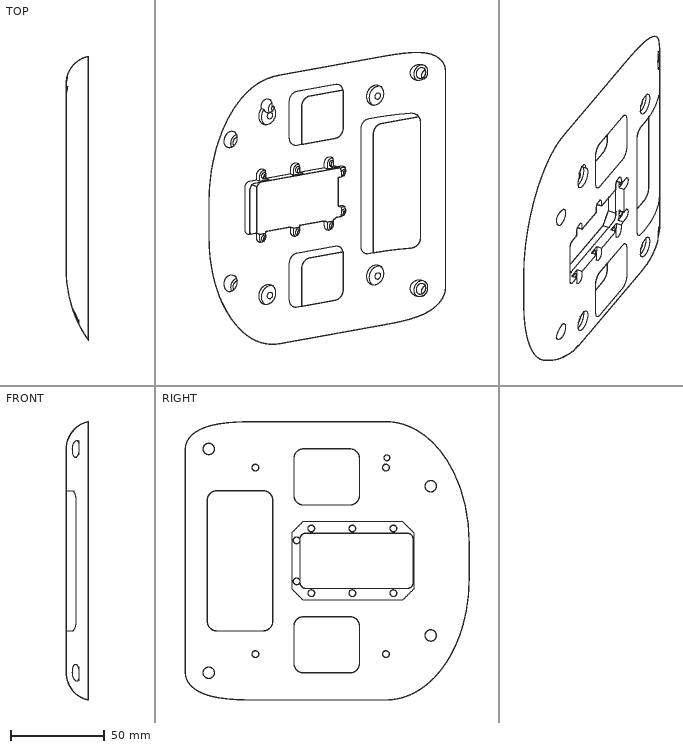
import cadquery as cq
import math


THICKNESS = 12.0
EDGE_RADIUS = 15.0
FLAT_HALF_HEIGHT = 60.0
HALF_LENGTH = 35.0
NOSE_FLAT_HALF_HEIGHT = 10.0
NOSE_REACH = 45.0
TAIL_BEND_RADIUS = 65.0
TAIL_SWEEP_DEGREES = 45.0
OUTER_HALF_HEIGHT = FLAT_HALF_HEIGHT + EDGE_RADIUS
BLANK_MARGIN = 1.0
BLANK_DEPTH = EDGE_RADIUS + BLANK_MARGIN
NOSE_RISE = OUTER_HALF_HEIGHT - NOSE_FLAT_HALF_HEIGHT
OVERSIZE = 400.0

WINDOW_WIDTH = 35.0
WINDOW_RADIUS = 5.0
SIDE_WINDOW_HEIGHT = 30.0
SIDE_WINDOW_Y = 3.25
SIDE_WINDOW_Z = FLAT_HALF_HEIGHT - SIDE_WINDOW_HEIGHT / 2
TAIL_WINDOW_Y = -43.25
TAIL_WINDOW_HEIGHT = 75.0

OPENING_Y_MAX = 49.5
OPENING_Y_MIN = -11.0
OPENING_HEIGHT = 29.5
OPENING_RADIUS = 3.0
LIP_THICKNESS = 5.0
RECESS_Y_MAX = 50.0
RECESS_Y_MIN = -15.5
RECESS_HEIGHT = 42.0
RECESS_CHAMFER = 6.0

SMALL_BORE = 3.5
DISPLAY_SLOT_WIDTH = 6.0
DISPLAY_SLOT_DEPTH = 3.0
DISPLAY_ROW_Y = (39.0, 17.0, -5.0)
DISPLAY_ROW_Z = 17.35
DISPLAY_END_Y = -12.9
DISPLAY_END_Z = 11.0

MOUNT_Y = HALF_LENGTH
MOUNT_Z = 50.0
MOUNT_HEAD = 11.0
MOUNT_HEAD_DEPTH = 2.5

CORNER_BORE = 6.0
CORNER_HEAD = 9.0
CORNER_HEAD_DEPTH = 7.0
TAIL_CORNER = (-60.0, 60.0)
NOSE_CORNER = (59.0, 40.0)

EXTRA_HOLE = (35.5, 55.25)
EXTRA_BORE = 3.0
EXTRA_HEAD = 7.0
EXTRA_HEAD_DEPTH = 7.0


def box(x_range, y_range, z_range):
    """Block between the given limits."""
    sizes = [high - low for low, high in (x_range, y_range, z_range)]
    corner = (x_range[0], y_range[0], z_range[0])
    return cq.Workplane("XY").box(*sizes, centered=False).translate(corner)


def cylinder(y, z, diameter, depth):
    """Cylinder along X from the front plane to the given depth."""
    return cq.Workplane("YZ").center(y, z).circle(diameter / 2).extrude(depth)


def make_nose_and_middle():
    """Straight middle and elliptical nose, with the front edge rounded."""
    nose_tip = HALF_LENGTH + NOSE_REACH
    blank = (
        cq.Workplane("YZ")
        .moveTo(-HALF_LENGTH, -OUTER_HALF_HEIGHT)
        .lineTo(HALF_LENGTH, -OUTER_HALF_HEIGHT)
        .ellipseArc(NOSE_REACH, NOSE_RISE, 270, 360, startAtCurrent=True)
        .lineTo(nose_tip, NOSE_FLAT_HALF_HEIGHT)
        .ellipseArc(NOSE_REACH, NOSE_RISE, 0, 90, startAtCurrent=True)
        .lineTo(-HALF_LENGTH, OUTER_HALF_HEIGHT)
        .close()
        .extrude(BLANK_DEPTH)
    )
    return blank.faces("<X").edges("not <Y").fillet(EDGE_RADIUS)


def make_tail():
    """Cross-section of the middle swept back around an axis parallel to Z."""
    corner = EDGE_RADIUS * math.sqrt(0.5)
    arc_x = EDGE_RADIUS - corner
    arc_z = FLAT_HALF_HEIGHT + corner
    return (
        cq.Workplane("XZ", origin=(0, -HALF_LENGTH, 0))
        .moveTo(0, -FLAT_HALF_HEIGHT)
        .lineTo(0, FLAT_HALF_HEIGHT)
        .threePointArc((arc_x, arc_z), (EDGE_RADIUS, OUTER_HALF_HEIGHT))
        .lineTo(BLANK_DEPTH, OUTER_HALF_HEIGHT)
        .lineTo(BLANK_DEPTH, -OUTER_HALF_HEIGHT)
        .lineTo(EDGE_RADIUS, -OUTER_HALF_HEIGHT)
        .threePointArc((arc_x, -arc_z), (0, -FLAT_HALF_HEIGHT))
        .close()
        .revolve(TAIL_SWEEP_DEGREES, (TAIL_BEND_RADIUS, 0, 0), (TAIL_BEND_RADIUS, 1, 0))
    )


def make_body():
    """Rounded plate cut off flat at the back."""
    half = OVERSIZE / 2
    front_space = box((-half, THICKNESS), (-half, half), (-half, half))
    return make_nose_and_middle().union(make_tail()).intersect(front_space)


def window(y, z, height):
    """Rounded through window."""
    cutter = cq.Workplane("YZ").center(y, z).rect(WINDOW_WIDTH, height).extrude(THICKNESS)
    return cutter.edges("|X").fillet(WINDOW_RADIUS)


def cut_windows(body):
    for side in (-1, 1):
        body = body.cut(window(SIDE_WINDOW_Y, side * SIDE_WINDOW_Z, SIDE_WINDOW_HEIGHT))
    return body.cut(window(TAIL_WINDOW_Y, 0, TAIL_WINDOW_HEIGHT))


def cut_display_opening(body):
    opening = box(
        (0, THICKNESS),
        (OPENING_Y_MIN, OPENING_Y_MAX),
        (-OPENING_HEIGHT / 2, OPENING_HEIGHT / 2),
    ).edges("|X").fillet(OPENING_RADIUS)
    recess = box(
        (LIP_THICKNESS, THICKNESS),
        (RECESS_Y_MIN, RECESS_Y_MAX),
        (-RECESS_HEIGHT / 2, RECESS_HEIGHT / 2),
    ).edges("|X").chamfer(RECESS_CHAMFER)
    return body.cut(opening).cut(recess)


def cut_screw(body, y, z, bore, head, head_depth):
    """Through bore with a flat-bottomed head recess from the front."""
    body = body.cut(cylinder(y, z, bore, THICKNESS))
    return body.cut(cylinder(y, z, head, head_depth))


def cut_display_screw(body, y, z, slot_y_range, slot_z_range):
    """Display screw hole with its head slot."""
    body = body.cut(box((0, DISPLAY_SLOT_DEPTH), slot_y_range, slot_z_range))
    return cut_screw(body, y, z, SMALL_BORE, DISPLAY_SLOT_WIDTH, DISPLAY_SLOT_DEPTH)


def cut_display_screws(body):
    """Screws around the opening; each head slot runs straight into the opening."""
    half_slot = DISPLAY_SLOT_WIDTH / 2
    for side in (-1, 1):
        z = side * DISPLAY_ROW_Z
        for y in DISPLAY_ROW_Y:
            body = cut_display_screw(body, y, z, (y - half_slot, y + half_slot), sorted((0, z)))
        y = DISPLAY_END_Y
        z = side * DISPLAY_END_Z
        body = cut_display_screw(body, y, z, (y, 0), (z - half_slot, z + half_slot))
    return body


def cut_screws(body):
    for side in (-1, 1):
        for y in (-MOUNT_Y, MOUNT_Y):
            body = cut_screw(body, y, side * MOUNT_Z, SMALL_BORE, MOUNT_HEAD, MOUNT_HEAD_DEPTH)
        for y, z in (TAIL_CORNER, NOSE_CORNER):
            body = cut_screw(body, y, side * z, CORNER_BORE, CORNER_HEAD, CORNER_HEAD_DEPTH)
    return cut_screw(body, *EXTRA_HOLE, EXTRA_BORE, EXTRA_HEAD, EXTRA_HEAD_DEPTH)


result = make_body()
result = cut_windows(result)
result = cut_display_opening(result)
result = cut_display_screws(result)
result = cut_screws(result)